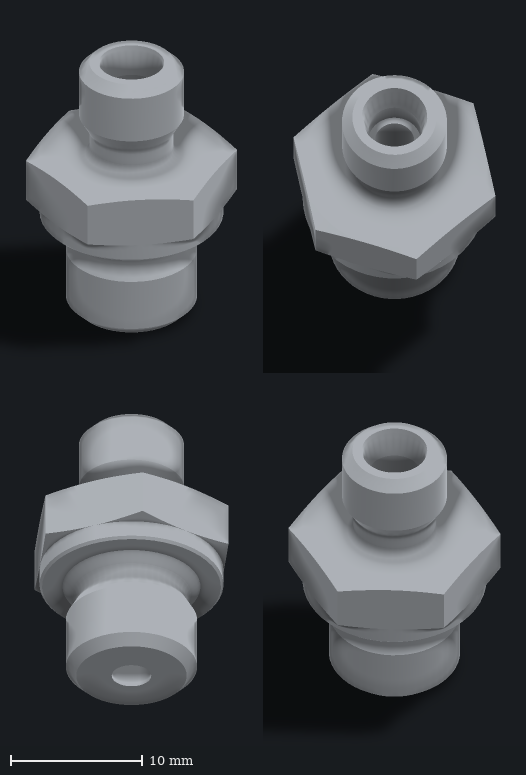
import cadquery as cq
import math

total_height = 21.5
collar_bottom = 8.0
hex_bottom = 9.48
hex_top = 13.5

across_flats = 14.0
collar_radius = across_flats / 2
collar_chamfer = 0.2
hex_chamfer_angle = 15.0
blank_margin = 0.43

lower_radius = 10.0 / 2
upper_radius = 8.0 / 2
end_chamfer = 0.8
runout_angle = 30.0
lower_thread_top = 4.99

lower_waist_radius = 4.24
lower_groove_radius = 0.99
lower_groove_flare = 45.0

neck_radius = 6.4 / 2
neck_fillet = upper_radius - neck_radius
upper_thread_bottom = 16.9

bore_radius = 3.0 / 2
socket_radius = 4.0 / 2
socket_mouth_radius = 2.5
socket_taper_angle = 12.0
socket_depth = 4.0


def tan_deg(angle):
    return math.tan(math.radians(angle))


def arc_point(waist_radius, arc_radius, center_z, angle):
    """Point on a groove arc, with the angle measured upward from its narrowest place."""
    turn = math.radians(angle)
    return (
        waist_radius + arc_radius * (1 - math.cos(turn)),
        center_z + arc_radius * math.sin(turn),
    )


def runout_height(thread_radius, waist_radius, arc_radius):
    """Height from a thread's inner end to the center of its groove arc."""
    arc_end_radius, arc_height = arc_point(waist_radius, arc_radius, 0, runout_angle)
    return (thread_radius - arc_end_radius) / tan_deg(runout_angle) + arc_height


def lower_end():
    """Thread blank and undercut, reaching up to the underside of the collar."""
    center_z = lower_thread_top + runout_height(lower_radius, lower_waist_radius, lower_groove_radius)

    def groove(angle):
        return arc_point(lower_waist_radius, lower_groove_radius, center_z, angle)

    flare_start = groove(lower_groove_flare)
    flare_radius = flare_start[0] + (collar_bottom - flare_start[1]) * tan_deg(lower_groove_flare)
    profile = (
        cq.Workplane("XZ")
        .moveTo(0, 0)
        .lineTo(lower_radius - end_chamfer, 0)
        .lineTo(lower_radius, end_chamfer)
        .lineTo(lower_radius, lower_thread_top)
        .lineTo(*groove(-runout_angle))
        .threePointArc(groove(0), flare_start)
        .lineTo(flare_radius, collar_bottom)
        .lineTo(0, collar_bottom)
        .close()
    )
    return profile.revolve(360, (0, 0, 0), (0, 1, 0))


def collar():
    ring = cq.Workplane("XY").workplane(offset=collar_bottom)
    ring = ring.circle(collar_radius).extrude(hex_bottom - collar_bottom)
    return ring.faces("<Z").edges().chamfer(collar_chamfer)


def hexagon():
    """Hexagon with corners on the Y axis and conically turned ends."""
    corner_radius = collar_radius / math.cos(math.radians(30))
    prism = (
        cq.Workplane("XY")
        .workplane(offset=hex_bottom)
        .polygon(6, 2 * corner_radius)
        .extrude(hex_top - hex_bottom)
        .rotate((0, 0, 0), (0, 0, 1), 30)
    )
    blank_radius = corner_radius + blank_margin
    drop = (blank_radius - collar_radius) * tan_deg(hex_chamfer_angle)
    turned_blank = (
        cq.Workplane("XZ")
        .polyline([
            (0, hex_bottom),
            (collar_radius, hex_bottom),
            (blank_radius, hex_bottom + drop),
            (blank_radius, hex_top - drop),
            (collar_radius, hex_top),
            (0, hex_top),
        ])
        .close()
        .revolve(360, (0, 0, 0), (0, 1, 0))
    )
    return prism.intersect(turned_blank)


def upper_end():
    """Filleted neck and thread blank above the hexagon."""
    center_z = upper_thread_bottom - runout_height(upper_radius, neck_radius, neck_fillet)

    def neck_foot(angle):
        return arc_point(neck_radius, neck_fillet, hex_top + neck_fillet, angle)

    def neck_head(angle):
        return arc_point(neck_radius, neck_fillet, center_z, angle)

    profile = (
        cq.Workplane("XZ")
        .moveTo(0, hex_top)
        .lineTo(*neck_foot(-90))
        .threePointArc(neck_foot(-45), neck_foot(0))
        .lineTo(*neck_head(0))
        .threePointArc(neck_head(runout_angle / 2), neck_head(runout_angle))
        .lineTo(upper_radius, upper_thread_bottom)
        .lineTo(upper_radius, total_height - end_chamfer)
        .lineTo(upper_radius - end_chamfer, total_height)
        .lineTo(0, total_height)
        .close()
    )
    return profile.revolve(360, (0, 0, 0), (0, 1, 0))


def bore():
    """Through hole opening into a tube socket with a tapered mouth."""
    taper_depth = (socket_mouth_radius - socket_radius) / tan_deg(socket_taper_angle)
    socket_floor = total_height - socket_depth
    return (
        cq.Workplane("XZ")
        .polyline([
            (0, 0),
            (bore_radius, 0),
            (bore_radius, socket_floor),
            (socket_radius, socket_floor),
            (socket_radius, total_height - taper_depth),
            (socket_mouth_radius, total_height),
            (0, total_height),
        ])
        .close()
        .revolve(360, (0, 0, 0), (0, 1, 0))
    )


body = lower_end().union(collar()).union(hexagon()).union(upper_end())
result = body.cut(bore())